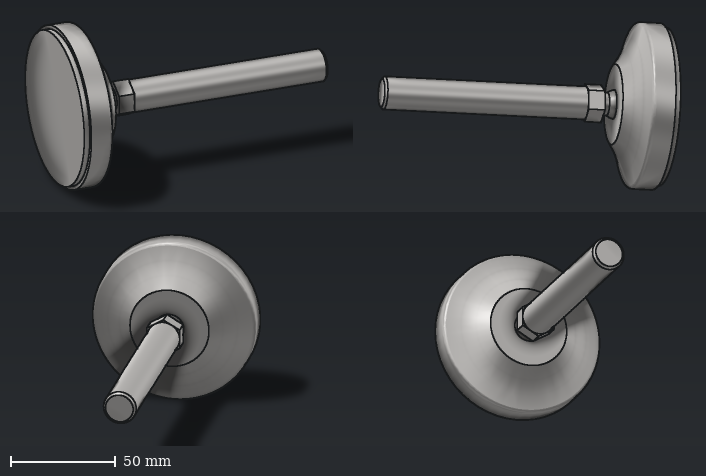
import cadquery as cq
import math

total_length = 138.0

pad_diameter = 80.0
sole_diameter = 76.0
sole_thickness = 2.9
rim_corner_height = 14.0
rim_fillet = 2.1
slope_mid_radius = 25.7
slope_mid_height = 19.7
pad_top_radius = 19.3
pad_top = 23.9

collar_radius = 7.0
neck_diameter = 11.0
collar_top = 27.0
collar_bulge = 0.1

stud_diameter = 16.0
hex_across_flats = stud_diameter
hex_bottom = 30.0
hex_top = 38.0
tip_chamfer = 1.2


def make_pad():
    """Revolved pad with a rounded rim and a concave upper slope."""
    rim_radius = pad_diameter / 2
    profile = (
        cq.Workplane("XY")
        .lineTo(sole_diameter / 2, 0)
        .lineTo(sole_diameter / 2, sole_thickness)
        .lineTo(rim_radius, sole_thickness)
        .lineTo(rim_radius, rim_corner_height)
        .threePointArc((slope_mid_radius, slope_mid_height), (pad_top_radius, pad_top))
        .lineTo(0, pad_top)
        .close()
    )
    pad = profile.revolve(360, (0, 0), (0, 1))
    rim_corner = cq.selectors.NearestToPointSelector((0, rim_corner_height, 0))
    return pad.edges("%CIRCLE").edges(rim_corner).fillet(rim_fillet)


def make_neck():
    """Narrow neck rising from a rounded collar on the pad."""
    neck_radius = neck_diameter / 2
    collar_mid = (
        (collar_radius + neck_radius) / 2 + collar_bulge,
        (pad_top + collar_top) / 2 + collar_bulge,
    )
    profile = (
        cq.Workplane("XY")
        .moveTo(0, pad_top)
        .lineTo(collar_radius, pad_top)
        .threePointArc(collar_mid, (neck_radius, collar_top))
        .lineTo(neck_radius, hex_bottom)
        .lineTo(0, hex_bottom)
        .close()
    )
    return profile.revolve(360, (0, 0), (0, 1))


def make_hexagon():
    """Wrench hexagon with flats facing X and corners on the Z direction."""
    across_corners = hex_across_flats / math.cos(math.pi / 6)
    return (
        cq.Workplane("XZ", origin=(0, hex_bottom, 0))
        .transformed(rotate=(0, 0, 90))
        .polygon(6, across_corners)
        .extrude(hex_bottom - hex_top)
    )


def make_stud():
    """Plain round stud with a chamfered tip."""
    return (
        cq.Workplane("XZ", origin=(0, hex_top, 0))
        .circle(stud_diameter / 2)
        .extrude(hex_top - total_length)
        .faces(">Y")
        .chamfer(tip_chamfer)
    )


result = make_pad().union(make_neck()).union(make_hexagon()).union(make_stud())